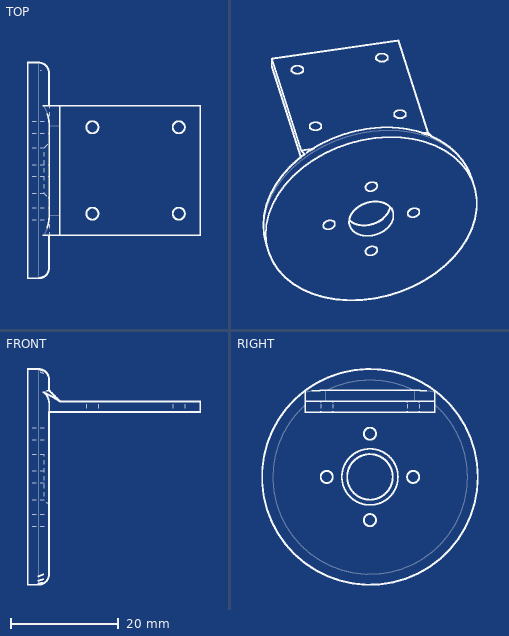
import cadquery as cq

flange_diameter = 40.0
flange_thickness = 4.0
flange_rim_radius = 2.0
bore_diameter = 8.4
bore_mouth_diameter = 10.4
screw_diameter = 2.2
flange_screw_circle = 16.0
flange_screw_count = 4

overall_length = 32.0
shelf_width = 24.0
shelf_thickness = 2.0
shelf_bottom = 12.0
shelf_top = shelf_bottom + shelf_thickness
shelf_hole_spacing = 16.0
shelf_hole_edge_distance = (shelf_width - shelf_hole_spacing) / 2
shelf_hole_center_x = overall_length - shelf_hole_edge_distance - shelf_hole_spacing / 2

web_leg = 2.0


def make_flange():
    disc = cq.Workplane("YZ").circle(flange_diameter / 2).extrude(flange_thickness)
    return disc.faces(">X").edges().fillet(flange_rim_radius)


def make_shelf():
    start_x = flange_thickness - flange_rim_radius
    shelf_length = overall_length - start_x
    return cq.Workplane("XY", origin=(start_x, 0, shelf_bottom)).box(
        shelf_length, shelf_width, shelf_thickness, centered=(False, True, False)
    )


def add_web(body):
    corner_edge = cq.selectors.NearestToPointSelector((flange_thickness, 0, shelf_top))
    return body.edges(corner_edge).chamfer(web_leg)


def flange_holes():
    bore_radius = bore_diameter / 2
    mouth_radius = bore_mouth_diameter / 2
    mouth_start_x = flange_thickness - (mouth_radius - bore_radius)
    bore = (
        cq.Workplane("XY")
        .lineTo(0, bore_radius)
        .lineTo(mouth_start_x, bore_radius)
        .lineTo(flange_thickness, mouth_radius)
        .lineTo(flange_thickness, 0)
        .close()
        .revolve(360, (0, 0, 0), (1, 0, 0))
    )
    screws = (
        cq.Workplane("YZ")
        .polarArray(flange_screw_circle / 2, 0, 360, flange_screw_count)
        .circle(screw_diameter / 2)
        .extrude(flange_thickness)
    )
    return bore.union(screws)


def shelf_holes():
    return (
        cq.Workplane("XY", origin=(shelf_hole_center_x, 0, shelf_bottom))
        .rect(shelf_hole_spacing, shelf_hole_spacing, forConstruction=True)
        .vertices()
        .circle(screw_diameter / 2)
        .extrude(shelf_thickness)
    )


body = add_web(make_flange().union(make_shelf()))
result = body.cut(flange_holes()).cut(shelf_holes())